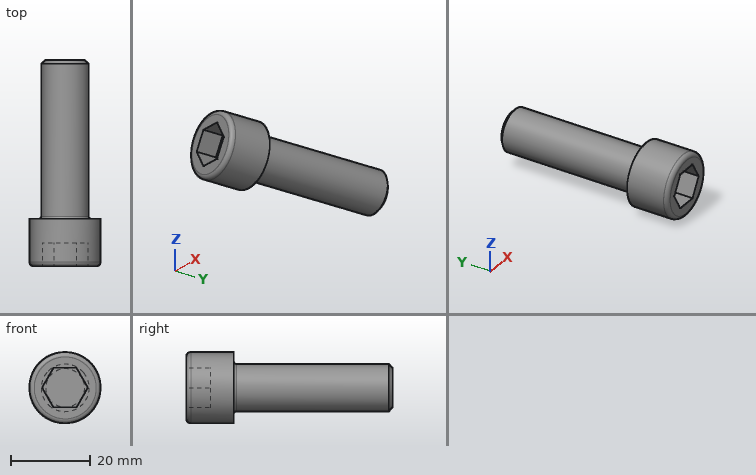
import cadquery as cq
import math

total_length = 52
head_diameter = 18.0
shank_diameter = 12.0
head_height = shank_diameter
shank_length = total_length - head_height
head_round = 1.2
neck_fillet = 0.55
tip_chamfer_length = 1.0
tip_chamfer_depth = 1.15
socket_across_flats = 10.0
socket_depth = head_height / 2

head_radius = head_diameter / 2
shank_radius = shank_diameter / 2
round_diagonal = head_round * math.sqrt(0.5)
fillet_diagonal = neck_fillet * math.sqrt(0.5)


def make_body():
    """Revolve the half profile (radius, Y) of head and shank about the Y axis."""
    round_center = (head_radius - head_round, head_round - head_height)
    fillet_center = (shank_radius + neck_fillet, neck_fillet)
    profile = (
        cq.Workplane("XY")
        .moveTo(0, -head_height)
        .lineTo(head_radius - head_round, -head_height)
        .threePointArc(
            (round_center[0] + round_diagonal, round_center[1] - round_diagonal),
            (head_radius, head_round - head_height),
        )
        .lineTo(head_radius, 0)
        .lineTo(shank_radius + neck_fillet, 0)
        .threePointArc(
            (fillet_center[0] - fillet_diagonal, fillet_center[1] - fillet_diagonal),
            (shank_radius, neck_fillet),
        )
        .lineTo(shank_radius, shank_length - tip_chamfer_length)
        .lineTo(shank_radius - tip_chamfer_depth, shank_length)
        .lineTo(0, shank_length)
        .close()
    )
    return profile.revolve(360, (0, 0), (0, 1))


def make_socket():
    """Flat-bottomed hexagonal socket with two corners on the X axis."""
    across_corners = socket_across_flats / math.cos(math.radians(30))
    return (
        cq.Workplane("XZ", origin=(0, -head_height, 0))
        .polygon(6, across_corners)
        .extrude(-socket_depth)
    )


result = make_body().cut(make_socket())